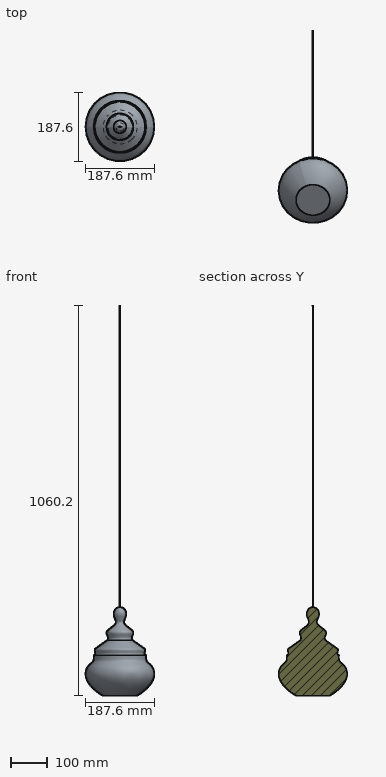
import cadquery as cq

total_height = 1060.22
bulb_radius = 93.8
cord_radius = 1.5

bottom_radius = 46.0
band_top = (71.0, 110.5)
rim_top = (65.5, 129.5)
collar_bottom = (35.0, 151.0)
knob_top = (cord_radius, 241.5)

bulb_lower = (76.5, 23.5)
bulb_widest = (bulb_radius, 59.0)
bulb_upper = (84.5, 83.0)
band_bottom = (72.5, 96.0)
band_middle = (71.3, 104.0)
rim_waist = (67.3, 115.5)
rim_bulge = (68.8, 122.5)
collar_waist = (33.3, 160.0)
collar_bulge = (36.8, 171.0)
shoulder = (27.5, 183.0)
neck = (11.5, 199.5)
knob_bulge = (17.3, 220.0)
knob_crown = (13.0, 235.0)


def body_outline():
    """Half outline of the lamp and its cord in the XZ plane, beside the axis."""
    bulb_and_band = [bulb_lower, bulb_widest, bulb_upper, band_bottom, band_middle, band_top]
    collar_and_knob = [collar_waist, collar_bulge, shoulder, neck, knob_bulge, knob_crown, knob_top]
    return (
        cq.Workplane("XZ")
        .moveTo(0, 0)
        .lineTo(bottom_radius, 0)
        .spline(bulb_and_band, includeCurrent=True)
        .spline([rim_waist, rim_bulge, rim_top], includeCurrent=True)
        .lineTo(*collar_bottom)
        .spline(collar_and_knob, includeCurrent=True)
        .lineTo(cord_radius, total_height)
        .lineTo(0, total_height)
        .close()
    )


half_lamp = body_outline().revolve(180, (0, 0, 0), (0, 1, 0))
result = half_lamp.union(half_lamp.mirror("XZ"), clean=False)